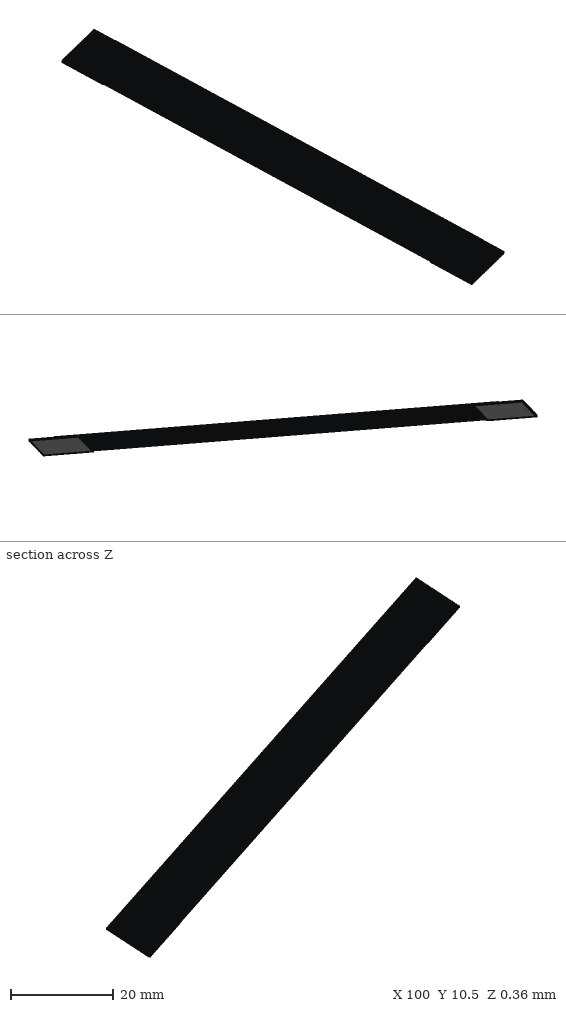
import cadquery as cq

LENGTH = 100.0
TOTAL_THICKNESS = 0.36

PITCH = 0.5
CONDUCTOR_COUNT = 20
CONDUCTOR_WIDTH = 0.3
CONDUCTOR_THICKNESS = 0.04
WIDTH = PITCH * (CONDUCTOR_COUNT + 1)

CONTACT_LENGTH = 5.0
STIFFENER_LENGTH = 10.0

FILM_THICKNESS = 0.05
CABLE_THICKNESS = 2 * FILM_THICKNESS + CONDUCTOR_THICKNESS
STIFFENER_THICKNESS = TOTAL_THICKNESS - CABLE_THICKNESS

BASE_FILM_Z = STIFFENER_THICKNESS
CONDUCTOR_Z = BASE_FILM_Z + FILM_THICKNESS
COVER_FILM_Z = CONDUCTOR_Z + CONDUCTOR_THICKNESS


def strip(length, width, thickness, x=0.0, y=0.0, bottom=0.0):
    """Flat strip centred on (x, y), rising from the given bottom height."""
    block = cq.Workplane("XY").box(length, width, thickness, centered=(True, True, False))
    return block.translate((x, y, bottom))


def conductors():
    """Full-length conductors, spaced across the width."""
    first_y = -(CONDUCTOR_COUNT - 1) * PITCH / 2
    return [
        strip(LENGTH, CONDUCTOR_WIDTH, CONDUCTOR_THICKNESS, y=first_y + index * PITCH, bottom=CONDUCTOR_Z)
        for index in range(CONDUCTOR_COUNT)
    ]


def stiffeners():
    """One plate under each end of the cable."""
    center_x = (LENGTH - STIFFENER_LENGTH) / 2
    return [
        strip(STIFFENER_LENGTH, WIDTH, STIFFENER_THICKNESS, x=side * center_x)
        for side in (-1, 1)
    ]


def cover_film():
    """Top film, cut short at both ends to leave the contacts bare."""
    return strip(LENGTH - 2 * CONTACT_LENGTH, WIDTH, FILM_THICKNESS, bottom=COVER_FILM_Z)


result = strip(LENGTH, WIDTH, FILM_THICKNESS, bottom=BASE_FILM_Z)
for layer_part in conductors() + stiffeners() + [cover_film()]:
    result = result.union(layer_part)